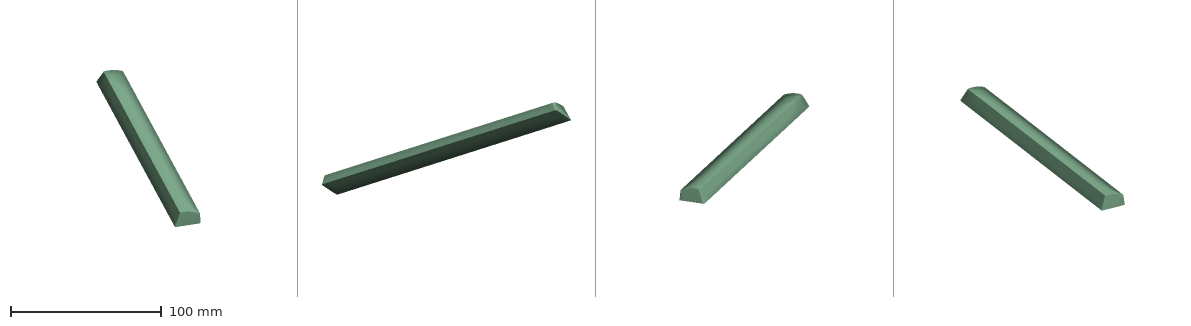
import cadquery as cq
import math

length = 189.5
depth = 18.0
height = 9.0

front_setback = 4.4
crown_radius = 22.7
crown_top_offset = 2.8

end_setback = 2.8
corner_radius = 1.0

front_y = -depth / 2
back_y = depth / 2
ridge_y = front_y + front_setback
crown_top_y = ridge_y + crown_top_offset


def crown_height(y):
    """Height of the curved top at a given Y."""
    return height - crown_radius + math.sqrt(crown_radius**2 - (y - crown_top_y) ** 2)


def crowned_bar():
    """Full-length bar with a sloping front and a curved top."""
    return (
        cq.Workplane("YZ")
        .moveTo(front_y, 0)
        .lineTo(back_y, 0)
        .lineTo(back_y, crown_height(back_y))
        .threePointArc((crown_top_y, height), (ridge_y, crown_height(ridge_y)))
        .close()
        .extrude(length / 2, both=True)
    )


def end_taper():
    """Trapezoidal prism that gives both ends their inward lean."""
    half_base = length / 2
    half_top = half_base - end_setback
    return (
        cq.Workplane("XZ")
        .polyline([(-half_base, 0), (half_base, 0), (half_top, height), (-half_top, height)])
        .close()
        .extrude(depth / 2, both=True)
    )


bar = crowned_bar().intersect(end_taper())

front_corners = cq.selectors.BoxSelector(
    (-length, front_y, height / 4), (length, ridge_y, height * 3 / 4)
)
back_corners = cq.selectors.BoxSelector(
    (-length, back_y - corner_radius, height / 4), (length, back_y + corner_radius, height * 3 / 4)
)
result = bar.edges("not |X").edges(front_corners + back_corners).fillet(corner_radius)